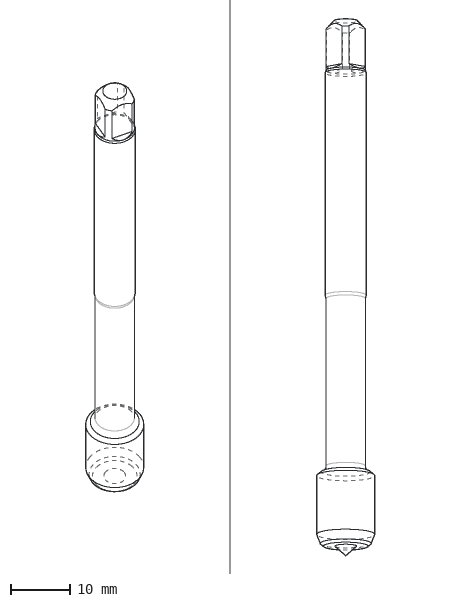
import cadquery as cq
import math

total_length = 91.65

head_radius = 9.8 / 2
head_top = 14.4
head_top_radius = 4.1
top_chamfer_height = 0.6
lead_top = 3.7
lead_bottom_radius = 4.3
lead_bottom = 2.1
rim_radius = 3.8
point_height = 1.65
point_radius = 1.8

shank_radius = 7.0 / 2
neck_radius = 6.7 / 2
neck_top = 44.1
neck_chamfer_height = 0.55
neck_flare_top = 15.4

drive_width = 5.5
drive_corner_radius = neck_radius
drive_bottom = 83.1
shoulder_height = 0.4
end_radius = 2.0
end_chamfer_height = 1.5


def make_head():
    """Tapered, chamfered head with a centre point."""
    profile = (
        cq.Workplane("XZ")
        .moveTo(0, 0)
        .lineTo(point_radius, point_height)
        .lineTo(rim_radius, point_height)
        .lineTo(lead_bottom_radius, lead_bottom)
        .lineTo(head_radius, lead_top)
        .lineTo(head_radius, head_top - top_chamfer_height)
        .lineTo(head_top_radius, head_top)
        .lineTo(0, head_top)
        .close()
    )
    return profile.revolve(360, (0, 0, 0), (0, 1, 0))


def make_round_shank():
    """Neck, shank and drive blank before the flats are cut."""
    flare_width = head_top_radius - neck_radius
    flare_height = neck_flare_top - head_top
    arc_share = 1 - math.sqrt(0.5)
    flare_middle = (neck_radius + flare_width * arc_share, head_top + flare_height * arc_share)
    profile = (
        cq.Workplane("XZ")
        .moveTo(0, head_top)
        .lineTo(head_top_radius, head_top)
        .threePointArc(flare_middle, (neck_radius, neck_flare_top))
        .lineTo(neck_radius, neck_top)
        .lineTo(shank_radius, neck_top + neck_chamfer_height)
        .lineTo(shank_radius, drive_bottom - shoulder_height)
        .lineTo(drive_corner_radius, drive_bottom)
        .lineTo(drive_corner_radius, total_length - end_chamfer_height)
        .lineTo(end_radius, total_length)
        .lineTo(0, total_length)
        .close()
    )
    return profile.revolve(360, (0, 0, 0), (0, 1, 0))


def make_flat_cutter():
    """Cutter for the +X flat, with a 45 degree ramp at its foot."""
    flat_offset = drive_width / 2
    ramp_size = drive_corner_radius - flat_offset
    cutter_reach = 2 * shank_radius
    ramp_end = drive_bottom - (cutter_reach - drive_corner_radius)
    return (
        cq.Workplane("XZ")
        .moveTo(flat_offset, total_length)
        .lineTo(flat_offset, drive_bottom + ramp_size)
        .lineTo(cutter_reach, ramp_end)
        .lineTo(cutter_reach, total_length)
        .close()
        .extrude(shank_radius, both=True)
    )


def make_shank():
    """Round shank with four flats forming the square drive."""
    shank = make_round_shank()
    cutter = make_flat_cutter()
    for angle in (0, 90, 180, 270):
        shank = shank.cut(cutter.rotate((0, 0, 0), (0, 0, 1), angle))
    return shank


head = make_head()
shank = make_shank()
result = cq.Compound.makeCompound([head.val(), *shank.solids().vals()])